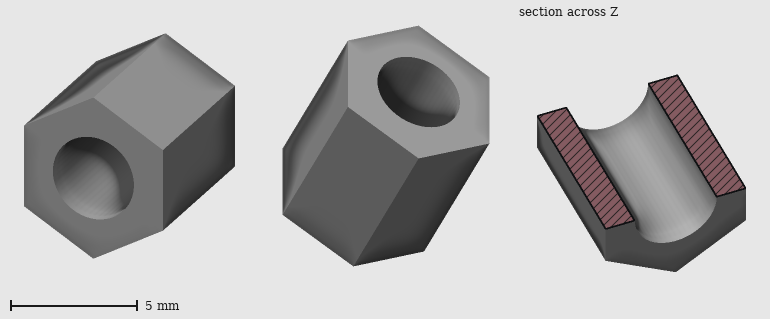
import cadquery as cq
import math

length = 7.0
across_flats = 6.0
bore_diameter = 3.5

across_corners = across_flats / math.cos(math.radians(30))

section_plane = cq.Plane(origin=(0, length / 2, 0), xDir=(0, 0, 1), normal=(0, -1, 0))

result = (
    cq.Workplane(section_plane)
    .polygon(6, across_corners)
    .circle(bore_diameter / 2)
    .extrude(length)
)